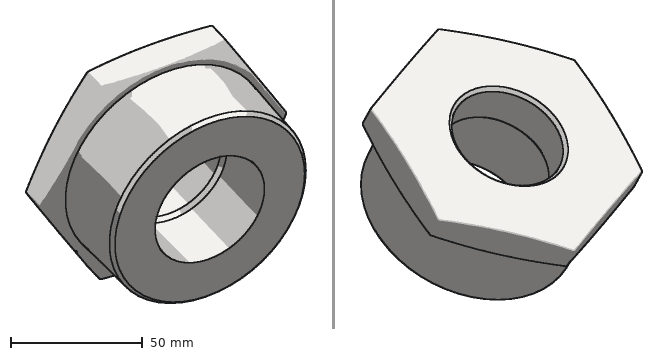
import cadquery as cq
import math

corner_width = 109.4
edge_radius = 1.0
head_thickness = 14.3
cone_angle = 15.0
face_radius = 46.7
face_blend_radius = 2.2

total_length = 47.0
shank_radius = 88.5 / 2
taper_start = 17.2
taper_slope = 1 / 32
end_chamfer = 1.5

bore_radius = 44.8 / 2
mouth_radius = 47.8 / 2
bore_depth = 17.5
relief_radius = 48.2 / 2

sharp_width = corner_width + 2 * edge_radius * (1 / math.cos(math.pi / 6) - 1)


def turned(profile):
    """Revolve (x, radius) points about the X axis."""
    return cq.Workplane("XY").polyline(profile).close().revolve(360, (0, 0, 0), (1, 0, 0))


def hexagon_head():
    """Hexagon trimmed by a cone on each face, with corners and rims rounded."""
    mid_x = head_thickness / 2
    barrel_radius = face_radius + mid_x / math.tan(math.radians(cone_angle))
    barrel = turned([
        (0, 0),
        (0, face_radius),
        (mid_x, barrel_radius),
        (head_thickness, face_radius),
        (head_thickness, 0),
    ])
    barrel = barrel.faces("<X or >X").edges().fillet(face_blend_radius)
    prism = cq.Workplane("YZ").polygon(6, sharp_width).extrude(head_thickness)
    prism = prism.edges("|X").fillet(edge_radius)
    head = prism.intersect(barrel)
    rims = head.edges("%HYPERBOLA or %BSPLINE")
    return rims.fillet(edge_radius)


def shank():
    """Short straight stretch, then a taper ending in a chamfer."""
    chamfer_x = total_length - end_chamfer
    chamfer_radius = shank_radius - (chamfer_x - taper_start) * taper_slope
    return turned([
        (0, 0),
        (0, shank_radius),
        (taper_start, shank_radius),
        (chamfer_x, chamfer_radius),
        (total_length, chamfer_radius - end_chamfer),
        (total_length, 0),
    ])


def bore():
    """Through bore: countersunk mouth, narrow stretch, then a 45 degree cone to a wider relief."""
    sink_depth = mouth_radius - bore_radius
    return turned([
        (0, 0),
        (0, mouth_radius),
        (sink_depth, bore_radius),
        (bore_depth, bore_radius),
        (bore_depth + relief_radius - bore_radius, relief_radius),
        (total_length, relief_radius),
        (total_length, 0),
    ])


result = hexagon_head().union(shank()).cut(bore())